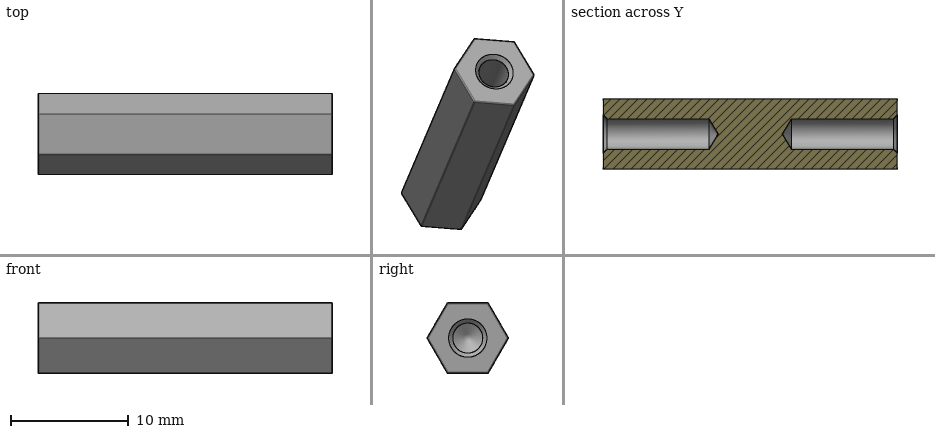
import cadquery as cq
import math

side_count = 6
length = 25.0
across_flats = 6.0
edge_radius = 0.1

hole_diameter = 2.55
countersink_diameter = 3.25
countersink_angle = 90.0
hole_depth = 9.0
drill_point_angle = 118.0


def hex_body():
    """Hexagonal bar with flats facing +Z and -Z and every edge slightly rounded."""
    across_corners = across_flats / math.cos(math.pi / side_count)
    bar = cq.Workplane("YZ").polygon(side_count, across_corners).extrude(length)
    return bar.translate((-length / 2, 0, 0)).edges().fillet(edge_radius)


def end_hole():
    """Solid of revolution that cuts the hole in the -X end."""
    radius = hole_diameter / 2
    mouth_radius = countersink_diameter / 2
    countersink_depth = (mouth_radius - radius) / math.tan(math.radians(countersink_angle / 2))
    point_depth = radius / math.tan(math.radians(drill_point_angle / 2))
    profile = (
        cq.Workplane("XY")
        .polyline([
            (0, 0),
            (0, mouth_radius),
            (countersink_depth, radius),
            (hole_depth, radius),
            (hole_depth + point_depth, 0),
        ])
        .close()
    )
    return profile.revolve(360, (0, 0, 0), (1, 0, 0)).translate((-length / 2, 0, 0))


hole = end_hole()
result = hex_body().cut(hole).cut(hole.mirror("YZ"))